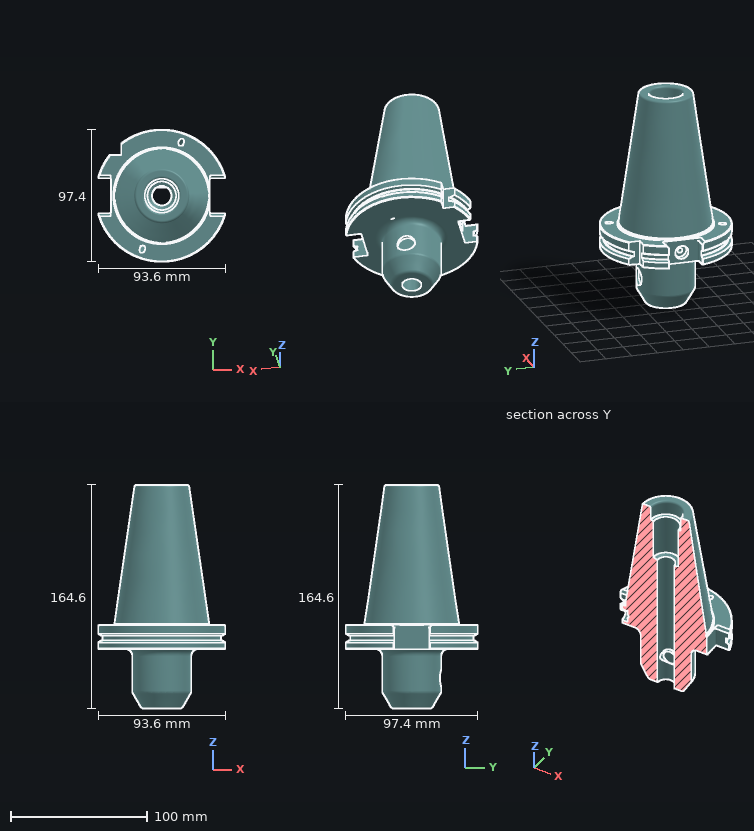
import cadquery as cq
import math


total_length = 164.6

taper_length = 101.7
taper_slope = 7 / 48
gauge_radius = 34.9
taper_end_radius = gauge_radius - taper_length * taper_slope
taper_end_fillet = 2.0
neck_radius = 34.4
neck_land = 0.3
undercut_radius = 35.7
undercut_depth = 0.5

flange_radius = 48.7
flange_top = -1.2
flange_bottom = -19.1
rim_chamfer = 0.5

groove_radius = 45.5
groove_center = -11.0
groove_width = 6.5
groove_floor_width = 3.5
groove_flank_depth = 2.5

nose_diameter = 43.6
nose_radius = nose_diameter / 2
nose_end = taper_length - total_length
nose_root_fillet = 5.0
nose_cone_length = 12.0
nose_cone_angle = 30
nose_fillet = 3.0
nose_end_radius = nose_radius - nose_cone_length * math.tan(math.radians(nose_cone_angle))

tool_bore_radius = 7.0
thread_bore_radius = 10.5
thread_bore_depth = 46.9
counterbore_radius = 12.5
counterbore_depth = 12.2
counterbore_fillet = 2.0
counterbore_cone = 1.0
bore_cone = 1.3

slot_width = 25.7
slot_floors = {-1: 37.4, 1: 35.4}
slot_top_chamfer = 2.1
slot_edge_chamfer = 0.8
slot_floor_fillet = 0.8

notch_x = -29.8
notch_y = 30.1

chip_radius = 5.0
chip_rim_chamfer = 0.2
chip_depth = 4.6
chip_center_radius = 1.8
chip_center_depth = 1.0

coolant_radius = 2.0
coolant_circle_radius = 41.8
coolant_angle = 70
coolant_tilt = 45
coolant_length = 23

screw_radius = 6.6
screw_height = nose_end + 22.4
screw_tip = 6.0
screw_tip_chamfer = 1.3
screw_head = 19.0


def make_revolved_body():
    """Taper, flange and nose turned as one profile."""
    groove_top = groove_center + groove_width / 2
    groove_base = groove_center - groove_width / 2
    floor_top = groove_center + groove_floor_width / 2
    floor_base = groove_center - groove_floor_width / 2
    flank_radius = flange_radius - groove_flank_depth
    profile = (
        cq.Workplane("XZ")
        .moveTo(0, taper_length)
        .lineTo(taper_end_radius, taper_length)
        .lineTo(gauge_radius, 0)
        .lineTo(gauge_radius, -neck_land)
        .lineTo(neck_radius, -neck_land)
        .lineTo(neck_radius, flange_top - undercut_depth)
        .lineTo(undercut_radius, flange_top - undercut_depth)
        .lineTo(undercut_radius, flange_top)
        .lineTo(flange_radius - rim_chamfer, flange_top)
        .lineTo(flange_radius, flange_top - rim_chamfer)
        .lineTo(flange_radius, groove_top)
        .lineTo(flank_radius, floor_top)
        .lineTo(groove_radius, floor_top)
        .lineTo(groove_radius, floor_base)
        .lineTo(flank_radius, floor_base)
        .lineTo(flange_radius, groove_base)
        .lineTo(flange_radius, flange_bottom + rim_chamfer)
        .lineTo(flange_radius - rim_chamfer, flange_bottom)
        .lineTo(nose_radius, flange_bottom)
        .lineTo(nose_radius, nose_end + nose_cone_length)
        .lineTo(nose_end_radius, nose_end)
        .lineTo(0, nose_end)
        .close()
    )
    body = profile.revolve(360, (0, 0, 0), (0, 1, 0))
    body = round_circle(body, taper_end_radius, taper_length, taper_end_fillet)
    body = round_circle(body, nose_radius, flange_bottom, nose_root_fillet)
    body = round_circle(body, nose_radius, nose_end + nose_cone_length, nose_fillet)
    return round_circle(body, nose_end_radius, nose_end, nose_fillet)


def round_circle(body, radius, height, fillet):
    """Fillet the circular edge of the given radius at the given height."""
    margin = 0.08
    outer = radius + margin
    edges = body.edges(cq.selectors.BoxSelector(
        (-outer, -outer, height - margin), (outer, outer, height + margin), boundingbox=True
    ))
    edges = edges.filter(lambda edge: edge.BoundingBox().xmax > radius - margin)
    return edges.fillet(fillet)


def make_bore():
    """Counterbore, thread bore and tool bore on the axis, as one turned cutter."""
    counterbore_floor = taper_length - counterbore_depth
    thread_bore_floor = taper_length - thread_bore_depth
    return (
        cq.Workplane("XZ")
        .moveTo(0, nose_end)
        .lineTo(tool_bore_radius, nose_end)
        .lineTo(tool_bore_radius, thread_bore_floor - bore_cone)
        .lineTo(thread_bore_radius, thread_bore_floor)
        .lineTo(thread_bore_radius, counterbore_floor - counterbore_cone)
        .lineTo(counterbore_radius, counterbore_floor)
        .lineTo(counterbore_radius, taper_length)
        .lineTo(0, taper_length)
        .close()
        .revolve(360, (0, 0, 0), (0, 1, 0))
    )


def make_drive_slot(side):
    """Cutter for the slot on one X side, with chamfers along its top and outer edges."""
    floor = slot_floors[side]
    half_width = slot_width / 2
    top_half_width = half_width + slot_top_chamfer
    section = (
        cq.Workplane("YZ", origin=(side * floor, 0, 0))
        .moveTo(-half_width, flange_bottom)
        .lineTo(half_width, flange_bottom)
        .lineTo(half_width, flange_top - slot_top_chamfer)
        .lineTo(top_half_width, flange_top)
        .lineTo(-top_half_width, flange_top)
        .lineTo(-half_width, flange_top - slot_top_chamfer)
        .close()
        .extrude(side * (flange_radius - floor))
    )
    inner_face = section.faces("<X" if side > 0 else ">X")
    section = inner_face.edges("not |Y").fillet(slot_floor_fillet)
    rim_x = math.sqrt(flange_radius**2 - half_width**2)
    mouth_spread = flange_radius - rim_x + slot_edge_chamfer
    mouth = (
        cq.Workplane("XY", origin=(0, 0, flange_bottom))
        .moveTo(side * (rim_x - slot_edge_chamfer), half_width)
        .lineTo(side * flange_radius, half_width + mouth_spread)
        .lineTo(side * flange_radius, -half_width - mouth_spread)
        .lineTo(side * (rim_x - slot_edge_chamfer), -half_width)
        .close()
        .extrude(flange_top - flange_bottom)
    )
    return section.union(mouth)


def make_notch():
    """Cutter for the square-cornered orientation notch through the flange."""
    return cq.Workplane("XY", origin=(notch_x, notch_y, flange_bottom)).box(
        flange_radius, flange_radius, flange_top - flange_bottom, centered=False
    ).translate((-flange_radius, 0, 0))


def make_chip_pocket():
    """Cutter for the chamfered data chip pocket with a conical center mark in its floor."""
    floor = slot_floors[-1]
    return (
        cq.Workplane("XY", origin=(-floor, 0, groove_center))
        .lineTo(0, chip_radius + chip_rim_chamfer)
        .lineTo(chip_rim_chamfer, chip_radius)
        .lineTo(chip_depth, chip_radius)
        .lineTo(chip_depth, chip_center_radius)
        .lineTo(chip_depth + chip_center_depth, 0)
        .close()
        .revolve(360, (0, 0, 0), (1, 0, 0))
    )


def make_coolant_hole(angle):
    """Cutter for one tilted coolant hole at the given angle around the axis."""
    tilt = math.radians(coolant_tilt)
    axis = cq.Vector(-math.sin(tilt), 0, -math.cos(tilt))
    mouth = cq.Vector(coolant_circle_radius, 0, flange_top)
    overshoot = 2 * coolant_radius
    hole = cq.Solid.makeCylinder(
        coolant_radius, coolant_length + overshoot, mouth - axis * overshoot, axis
    )
    return hole.rotate(cq.Vector(0, 0, 0), cq.Vector(0, 0, 1), angle)


def make_radial_cylinder(inner, outer):
    """Cylinder on the clamping screw axis, from y = inner to y = outer."""
    return cq.Workplane("XZ", origin=(0, inner, screw_height)).circle(screw_radius).extrude(inner - outer)


def make_holder():
    holder = make_revolved_body().cut(make_bore())
    holder = round_circle(holder, counterbore_radius, taper_length, counterbore_fillet)
    for side in slot_floors:
        holder = holder.cut(make_drive_slot(side))
    holder = holder.cut(make_notch())
    holder = holder.cut(make_chip_pocket())
    for angle in (coolant_angle, coolant_angle + 180):
        holder = holder.cut(cq.Workplane(make_coolant_hole(angle)))
    return holder.cut(make_radial_cylinder(0, nose_radius))


def make_clamping_screw():
    screw = make_radial_cylinder(screw_tip, screw_head)
    return screw.faces("<Y").chamfer(screw_tip_chamfer)


holder = make_holder()
clamping_screw = make_clamping_screw()
result = cq.Compound.makeCompound([holder.val(), clamping_screw.val()])